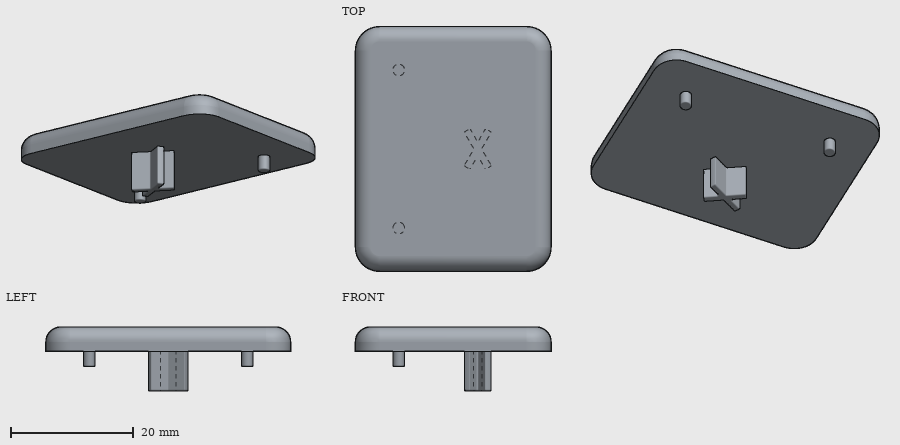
import cadquery as cq
import math

PLATE_WIDTH = 32.0
PLATE_LENGTH = 40.0
PLATE_THICKNESS = 4.0
PLATE_CORNER_RADIUS = 4.0
PLATE_RIM_RADIUS = 2.5

POST_X = 4.0
POST_LENGTH = 6.5
POST_DIAMETER = 7.0
BAR_THICKNESS = 1.1
BAR_TILT = 30.0
BAR_EDGE_RADIUS = 0.1
VALLEY_RADIUS = 0.2
POST_TIP_RADIUS = 0.25

PEG_X = -8.9
PEG_OFFSET_Y = 12.9
PEG_DIAMETER = 1.9
PEG_LENGTH = 2.5
PEG_TIP_RADIUS = 0.2


def make_plate():
    plate = cq.Workplane("XY").rect(PLATE_WIDTH, PLATE_LENGTH).extrude(PLATE_THICKNESS)
    plate = plate.edges("|Z").fillet(PLATE_CORNER_RADIUS)
    return plate.faces(">Z").edges().fillet(PLATE_RIM_RADIUS)


def make_bar(tilt):
    bar = cq.Workplane("XY").rect(BAR_THICKNESS, POST_DIAMETER).extrude(-POST_LENGTH)
    envelope = cq.Workplane("XY").circle(POST_DIAMETER / 2).extrude(-POST_LENGTH)
    bar = bar.intersect(envelope).edges("|Z").fillet(BAR_EDGE_RADIUS)
    return bar.rotate((0, 0, 0), (0, 0, 1), tilt)


def make_post():
    post = make_bar(BAR_TILT).union(make_bar(-BAR_TILT))
    farthest_valley = BAR_THICKNESS / 2 / math.sin(math.radians(BAR_TILT))
    reach = (farthest_valley + POST_DIAMETER / 2) / 2
    valley_zone = cq.selectors.BoxSelector((-reach, -reach, -POST_LENGTH), (reach, reach, 0))
    post = post.edges("|Z").edges(valley_zone).fillet(VALLEY_RADIUS)
    post = post.faces("<Z").edges().fillet(POST_TIP_RADIUS)
    return post.translate((POST_X, 0, 0))


def make_peg(y):
    peg = cq.Workplane("XY").circle(PEG_DIAMETER / 2).extrude(-PEG_LENGTH)
    peg = peg.faces("<Z").edges().fillet(PEG_TIP_RADIUS)
    return peg.translate((PEG_X, y, 0))


result = make_plate().union(make_post())
for peg_y in (-PEG_OFFSET_Y, PEG_OFFSET_Y):
    result = result.union(make_peg(peg_y))